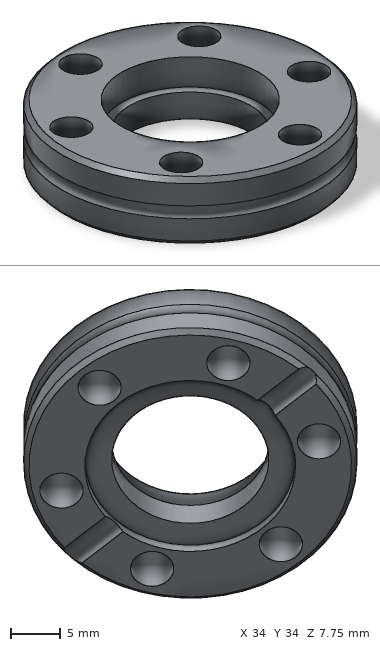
import cadquery as cq

outer_diameter = 34.0
thickness = 7.75
edge_chamfer = 0.55

bore_diameter = 16.0
counterbore_diameter = 18.15
counterbore_depth = 3.5

recess_diameter = 21.5
recess_depth = 1.12

bolt_hole_diameter = 4.4
bolt_circle_diameter = 27.0
bolt_hole_count = 6

groove_width = 1.5
groove_depth = 0.2

leak_groove_radius = 1.7
leak_groove_height = 0.6
leak_groove_overlap = 0.35
leak_groove_angles = (30, 210)

outer_radius = outer_diameter / 2
groove_start_radius = recess_diameter / 2 - leak_groove_overlap
mid_height = thickness / 2


def flange_body():
    """Revolve the solid disc, with chamfered rims and an arc-shaped groove."""
    chamfer_radius = outer_radius - edge_chamfer
    return (
        cq.Workplane("XZ")
        .lineTo(chamfer_radius, 0)
        .lineTo(outer_radius, edge_chamfer)
        .lineTo(outer_radius, mid_height - groove_width / 2)
        .threePointArc(
            (outer_radius - groove_depth, mid_height),
            (outer_radius, mid_height + groove_width / 2),
        )
        .lineTo(outer_radius, thickness - edge_chamfer)
        .lineTo(chamfer_radius, thickness)
        .lineTo(0, thickness)
        .close()
        .revolve(360, (0, 0), (0, 1))
    )


def cut_central_opening(body):
    """Cut the through bore and its counterbore from the top face."""
    return body.faces(">Z").workplane().cboreHole(bore_diameter, counterbore_diameter, counterbore_depth)


def cut_bottom_recess(body):
    """Cut the wide shallow recess into the bottom face, around the bore."""
    recess = cq.Workplane("XY").circle(recess_diameter / 2).extrude(recess_depth)
    return body.cut(recess)


def cut_leak_grooves(body):
    """Cut round-topped radial grooves in the bottom face, midway between neighbouring bolt holes."""
    groove = (
        cq.Workplane("YZ", origin=(groove_start_radius, 0, 0))
        .center(0, leak_groove_height - leak_groove_radius)
        .circle(leak_groove_radius)
        .extrude(outer_radius)
    )
    for angle in leak_groove_angles:
        body = body.cut(groove.rotate((0, 0, 0), (0, 0, 1), angle))
    return body


def cut_bolt_holes(body):
    """Cut the ring of through holes, the first one on the X axis."""
    return (
        body.faces(">Z")
        .workplane()
        .polarArray(bolt_circle_diameter / 2, 0, 360, bolt_hole_count)
        .hole(bolt_hole_diameter)
    )


result = flange_body()
result = cut_central_opening(result)
result = cut_bottom_recess(result)
result = cut_bolt_holes(result)
result = cut_leak_grooves(result)